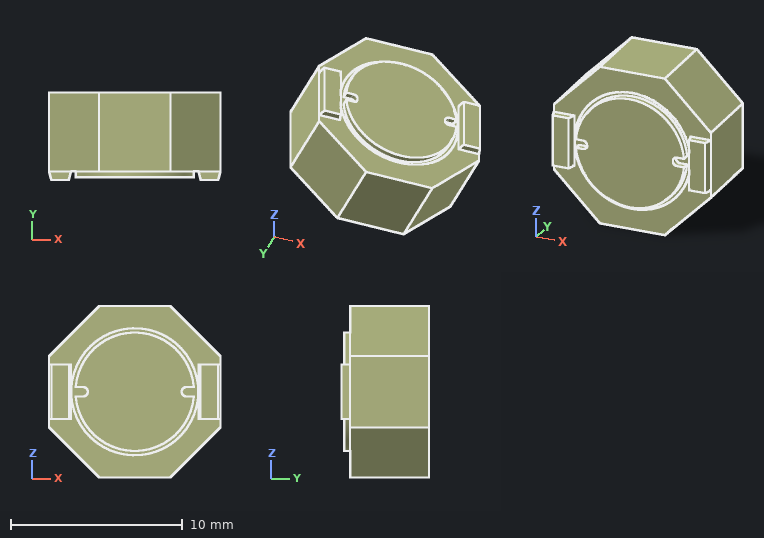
import cadquery as cq

HOUSING_WIDTH = 10.0
HOUSING_DEPTH = 4.6
CORNER_CUT = 2.93
RECESS_RADIUS = 3.7
RECESS_DEPTH = 0.1

CORE_RADIUS = 3.45
CORE_PROUD = 0.35
CORE_THICKNESS = CORE_PROUD + RECESS_DEPTH
NOTCH_WIDTH = 0.54
NOTCH_TIP_RADIUS = 2.73

PAD_HEIGHT = 3.2
PAD_THICKNESS = 0.5
PAD_BASE_WIDTH = 1.3
PAD_TAPER = 0.14


def make_housing():
    block = cq.Workplane("XZ").rect(HOUSING_WIDTH, HOUSING_WIDTH).extrude(-HOUSING_DEPTH)
    octagon = block.edges("|Y").chamfer(CORNER_CUT)
    recess = cq.Workplane("XZ").circle(RECESS_RADIUS).extrude(-RECESS_DEPTH)
    return octagon.cut(recess)


def make_notch(side):
    """Round-ended cutter, long enough to open through the core rim; side is -1 or +1 in X."""
    end_radius = NOTCH_WIDTH / 2
    end_x = side * (NOTCH_TIP_RADIUS + end_radius)
    mouth_length = CORE_RADIUS - NOTCH_TIP_RADIUS
    mouth_x = end_x + side * mouth_length / 2
    front = cq.Workplane("XZ", origin=(0, -CORE_PROUD, 0))
    round_end = front.center(end_x, 0).circle(end_radius).extrude(-CORE_THICKNESS)
    mouth = front.center(mouth_x, 0).rect(mouth_length, NOTCH_WIDTH).extrude(-CORE_THICKNESS)
    return round_end.union(mouth)


def make_core():
    front = cq.Workplane("XZ", origin=(0, -CORE_PROUD, 0))
    core = front.circle(CORE_RADIUS).extrude(-CORE_THICKNESS)
    for side in (-1, 1):
        core = core.cut(make_notch(side))
    return core


def make_terminal(side):
    """Pad tapering on both X sides; side is -1 or +1 in X."""
    outer_x = HOUSING_WIDTH / 2
    inner_x = outer_x - PAD_BASE_WIDTH
    profile = [
        (side * outer_x, 0),
        (side * (outer_x - PAD_TAPER), -PAD_THICKNESS),
        (side * (inner_x + PAD_TAPER), -PAD_THICKNESS),
        (side * inner_x, 0),
    ]
    return cq.Workplane("XY").polyline(profile).close().extrude(PAD_HEIGHT / 2, both=True)


housing = make_housing()
core = make_core()
terminals = [make_terminal(side) for side in (-1, 1)]

result = cq.Compound.makeCompound(
    [housing.val(), core.val(), *[terminal.val() for terminal in terminals]]
)